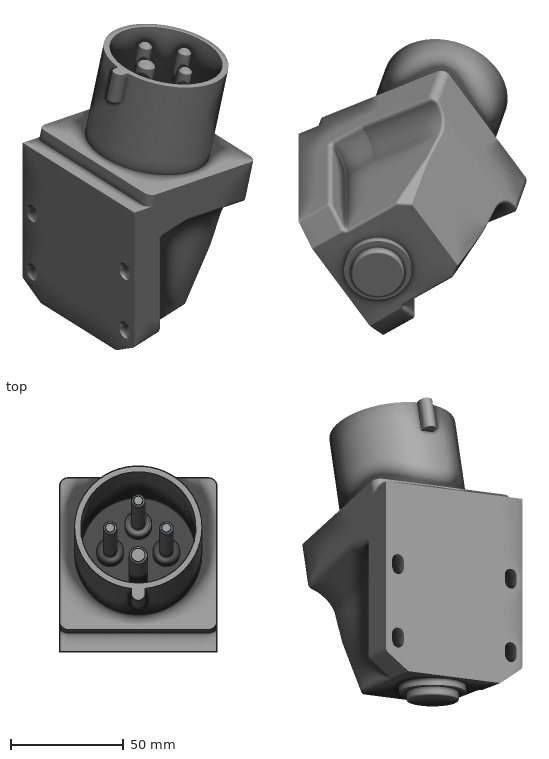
import cadquery as cq
import math


WIDTH = 70.0
HALF_WIDTH = WIDTH / 2
TILT = 15.0
MOUNT_TOP = 85.5

PLATE_THICKNESS = 9.3
CORNER_CUT_X = 11.4
CORNER_CUT_Z = 8.1
CORNER_ROUND = 2.0
SLOT_WIDTH = 6.0
SLOT_HEIGHT = 9.0
SLOT_X = 29.0
SLOT_HEIGHTS = (14.8, 48.3)

FLANGE_SETBACK = 8.6
FLANGE_THICKNESS = 6.0
FLANGE_ROUND = 3.9
SHROUD_DIAMETER = 56.7
SHROUD_BORE = 51.2
SHROUD_LENGTH = 45.1
KEY_WIDTH = 6.0
KEY_PROTRUSION = 5.3
KEY_LENGTH = 14.2
COLLAR_DIAMETER = 12.0
COLLAR_HEIGHT = 5.0
COLLAR_ROUND = 1.0

PIN_CIRCLE_RADIUS = 12.5
PIN_DIAMETER = 6.0
EARTH_PIN_DIAMETER = 8.1
PIN_LENGTH = 44.5
PIN_CHAMFER = 1.0
PHASE_PIN_ANGLES = (0, 90, 180)
EARTH_PIN_ANGLE = 270

REAR_WALL_HEIGHT = 17.7
BOTTOM_DEPTH = 49.7
NECK_HALF_WIDTH = 23.0
RECESS_FRONT = 17.3
RECESS_FLOOR_TOP = 49.0
RECESS_BAND_RADIUS = 12.1
RECESS_BEND_Y = 31.7
RECESS_INNER_ROUND = 1.0
RECESS_RIM_ROUND = 2.0
NECK_EDGE_ROUND = 1.3
FACET_TOP = 29.6
FACET_Y = 6.0
FACET_X = 4.2

GLAND_Y = 19.5
GLAND_COLLAR_DIAMETER = 30.0
GLAND_COLLAR_HEIGHT = 3.0
GLAND_DIAMETER = 23.4
GLAND_HEIGHT = 7.0
GLAND_EDGE_ROUND = 0.8

TILT_RADIANS = math.radians(TILT)
SIN_TILT = math.sin(TILT_RADIANS)
COS_TILT = math.cos(TILT_RADIANS)
CONNECTOR_AXIS = cq.Vector(0, SIN_TILT, COS_TILT)
PLATE_DROP = PLATE_THICKNESS * math.tan(TILT_RADIANS)
FLANGE_CENTRE = FLANGE_SETBACK + HALF_WIDTH
BIG = 2 * WIDTH
NEAR = 0.1


def on_slope(along, above):
    """Y and Z of a point given along the sloping top and above it."""
    return (
        along * COS_TILT + above * SIN_TILT,
        MOUNT_TOP - along * SIN_TILT + above * COS_TILT,
    )


REAR_TOP = on_slope(FLANGE_SETBACK + WIDTH, 0)
REAR_KNEE = on_slope(FLANGE_SETBACK + WIDTH, -REAR_WALL_HEIGHT)


def connector_plane(above):
    """Plane square to the connector axis, at a height above the sloping top."""
    return cq.Plane(
        origin=(0, *on_slope(FLANGE_CENTRE, above)),
        xDir=(1, 0, 0),
        normal=CONNECTOR_AXIS.toTuple(),
    )


def outer_rim(body):
    """Edges around the far end of a round body on the connector axis."""
    return body.faces(cq.DirectionMinMaxSelector(CONNECTOR_AXIS)).edges()


def pin_place(angle):
    turn = math.radians(angle)
    return (PIN_CIRCLE_RADIUS * math.cos(turn), PIN_CIRCLE_RADIUS * math.sin(turn))


def side_prism(points):
    """Prism across the full width from an outline of (Y, Z) points."""
    return cq.Workplane("YZ").polyline(points).close().extrude(HALF_WIDTH, both=True)


def bevelled_front(depth):
    """Front outline with both bottom corners bevelled and eased, run to the rear."""
    flat_end = HALF_WIDTH - CORNER_CUT_X
    bevel_top = cq.selectors.BoxSelector(
        (-WIDTH, 0, CORNER_CUT_Z - NEAR), (WIDTH, depth, CORNER_CUT_Z + NEAR)
    )
    return (
        cq.Workplane("XZ")
        .moveTo(-HALF_WIDTH, MOUNT_TOP)
        .lineTo(-HALF_WIDTH, CORNER_CUT_Z)
        .lineTo(-flat_end, 0)
        .lineTo(flat_end, 0)
        .lineTo(HALF_WIDTH, CORNER_CUT_Z)
        .lineTo(HALF_WIDTH, MOUNT_TOP)
        .close()
        .extrude(-depth)
        .edges(bevel_top)
        .fillet(CORNER_ROUND)
    )



def make_plate():
    outline = [
        (0, 0),
        (0, MOUNT_TOP),
        (PLATE_THICKNESS, MOUNT_TOP - PLATE_DROP),
        (PLATE_THICKNESS, 0),
    ]
    plate = side_prism(outline).intersect(bevelled_front(PLATE_THICKNESS))
    for x in (-SLOT_X, SLOT_X):
        for z in SLOT_HEIGHTS:
            plate = plate.cut(screw_slot(x, z))
    return plate


def screw_slot(x, z):
    """Slot through the plate, sloping down to the rear like the top."""
    path = cq.Workplane("YZ", origin=(x, 0, z)).lineTo(PLATE_THICKNESS, -PLATE_DROP)
    mouth = cq.Workplane("XZ", origin=(x, 0, z)).slot2D(SLOT_HEIGHT, SLOT_WIDTH, 90)
    return mouth.sweep(path)



def half_block():
    """The +X half of the housing before its side recess is taken out."""
    outline = [
        (PLATE_THICKNESS, 0),
        (PLATE_THICKNESS, MOUNT_TOP - PLATE_DROP),
        REAR_TOP,
        REAR_KNEE,
        (BOTTOM_DEPTH, 0),
    ]
    half_space = cq.Workplane().box(BIG, 2 * BIG, 2 * BIG, centered=(False, True, True))
    return side_prism(outline).intersect(bevelled_front(BIG)).intersect(half_space)


def below_band(run_direction):
    """Space outside the neck and below a concave band that runs in the given direction."""
    depth = HALF_WIDTH - NECK_HALF_WIDTH
    end_angle = math.acos(1 - depth / RECESS_BAND_RADIUS)
    bend = (0, RECESS_BEND_Y, RECESS_FLOOR_TOP)

    def band_point(angle):
        return (
            NECK_HALF_WIDTH + RECESS_BAND_RADIUS * (1 - math.cos(angle)),
            RECESS_BAND_RADIUS * math.sin(angle),
        )

    return (
        cq.Workplane(cq.Plane(origin=bend, xDir=(1, 0, 0), normal=run_direction))
        .moveTo(NECK_HALF_WIDTH, -BIG)
        .lineTo(NECK_HALF_WIDTH, 0)
        .threePointArc(band_point(end_angle / 2), band_point(end_angle))
        .lineTo(HALF_WIDTH, -BIG)
        .close()
        .extrude(BIG, both=True)
    )


def recess_space():
    """Recess beside the neck: level at the front, sloping at the rear, rounded at the front wall."""
    behind_wall = (
        cq.Workplane("XY", origin=(0, RECESS_FRONT, 0))
        .box(BIG, BIG, BIG, centered=(True, False, True))
    )
    level = below_band((0, -1, 0))
    sloping = below_band((0, -COS_TILT, SIN_TILT))
    space = level.intersect(sloping).intersect(behind_wall)
    front_wall_edges = cq.selectors.BoxSelector(
        (NECK_HALF_WIDTH - NEAR, RECESS_FRONT - NEAR, -HALF_WIDTH),
        (HALF_WIDTH - NEAR, RECESS_FRONT + NEAR, RECESS_FLOOR_TOP + RECESS_BAND_RADIUS),
    )
    return space.edges(front_wall_edges).fillet(RECESS_INNER_ROUND)


def rear_corner_facet():
    """Tool for the flat on the neck's rear corner, which widens towards the bottom."""
    rear_slope = (REAR_KNEE[0] - BOTTOM_DEPTH) / REAR_KNEE[1]
    top = cq.Vector(NECK_HALF_WIDTH, BOTTOM_DEPTH + rear_slope * FACET_TOP, FACET_TOP)
    side = cq.Vector(NECK_HALF_WIDTH, BOTTOM_DEPTH - FACET_Y, 0)
    rear = cq.Vector(NECK_HALF_WIDTH - FACET_X, BOTTOM_DEPTH, 0)
    facet = cq.Plane(origin=top, xDir=side - top, normal=(side - top).cross(rear - top))
    below_top = cq.Workplane().box(BIG, BIG, 2 * FACET_TOP)
    return cq.Workplane(facet).rect(BIG, BIG).extrude(WIDTH).intersect(below_top)


def make_housing():
    box = cq.selectors.BoxSelector
    block = half_block()

    rear_wall_middle = (
        HALF_WIDTH, (REAR_TOP[0] + REAR_KNEE[0]) / 2, (REAR_TOP[1] + REAR_KNEE[1]) / 2
    )
    rounded_block = (
        block.edges(cq.selectors.NearestToPointSelector(rear_wall_middle)).fillet(FLANGE_ROUND)
    )

    band_top = RECESS_FLOOR_TOP + RECESS_BAND_RADIUS
    wall_from = RECESS_FRONT - NEAR
    wall_to = RECESS_FRONT + NEAR
    side_rim = box(
        (HALF_WIDTH - NEAR, wall_from, 2 * CORNER_CUT_Z),
        (HALF_WIDTH + NEAR, REAR_KNEE[0] - NEAR, band_top + NEAR),
    )
    foot_rim = box(
        (NECK_HALF_WIDTH + RECESS_INNER_ROUND + NEAR, wall_from, 0),
        (HALF_WIDTH, wall_to, CORNER_CUT_Z + CORNER_ROUND),
    )
    half = block.cut(recess_space()).edges(side_rim + foot_rim).fillet(RECESS_RIM_ROUND)
    half = half.intersect(rounded_block).cut(rear_corner_facet())

    bottom_edges = box(
        (NECK_HALF_WIDTH - FACET_X, RECESS_FRONT + RECESS_INNER_ROUND, -NEAR),
        (NECK_HALF_WIDTH + NEAR, BOTTOM_DEPTH - NEAR, NEAR),
    )
    rear_edges = box(
        (NECK_HALF_WIDTH - NEAR, BOTTOM_DEPTH + 1.4, CORNER_ROUND),
        (HALF_WIDTH + NEAR, BIG, REAR_KNEE[1] + FLANGE_ROUND),
    )
    half = half.edges(bottom_edges + rear_edges).fillet(NECK_EDGE_ROUND)
    return half.union(half.mirror("YZ"))



def make_connector():
    floor = cq.Workplane(connector_plane(FLANGE_THICKNESS))
    flange = (
        cq.Workplane(connector_plane(0))
        .rect(WIDTH, WIDTH)
        .extrude(FLANGE_THICKNESS)
        .edges(cq.selectors.ParallelDirSelector(CONNECTOR_AXIS))
        .fillet(FLANGE_ROUND)
    )
    shroud = floor.circle(SHROUD_DIAMETER / 2).extrude(SHROUD_LENGTH)
    bore = floor.circle(SHROUD_BORE / 2).extrude(SHROUD_LENGTH)
    connector = flange.union(shroud).union(shroud_key()).cut(bore)
    for angle in PHASE_PIN_ANGLES:
        connector = connector.union(pin_collar(angle))
    return connector


def shroud_key():
    """Round-nosed key on the front of the shroud, down from its rim."""
    rim = cq.Workplane(connector_plane(FLANGE_THICKNESS + SHROUD_LENGTH))
    nose_centre = SHROUD_DIAMETER / 2 + KEY_PROTRUSION - KEY_WIDTH / 2
    return (
        rim.moveTo(KEY_WIDTH / 2, 0)
        .lineTo(-KEY_WIDTH / 2, 0)
        .lineTo(-KEY_WIDTH / 2, -nose_centre)
        .threePointArc((0, -nose_centre - KEY_WIDTH / 2), (KEY_WIDTH / 2, -nose_centre))
        .close()
        .extrude(-KEY_LENGTH)
    )


def pin_collar(angle):
    """Ring standing on the shroud floor around a phase pin."""
    spot = cq.Workplane(connector_plane(FLANGE_THICKNESS)).center(*pin_place(angle))
    ring = outer_rim(spot.circle(COLLAR_DIAMETER / 2).extrude(COLLAR_HEIGHT)).fillet(COLLAR_ROUND)
    return ring.cut(spot.circle(PIN_DIAMETER / 2).extrude(COLLAR_HEIGHT))



def make_pin(angle, diameter):
    spot = cq.Workplane(connector_plane(FLANGE_THICKNESS)).center(*pin_place(angle))
    return outer_rim(spot.circle(diameter / 2).extrude(PIN_LENGTH)).chamfer(PIN_CHAMFER)



def make_gland():
    top = cq.Workplane("XY", origin=(0, GLAND_Y, 0))
    collar = top.circle(GLAND_COLLAR_DIAMETER / 2).extrude(-GLAND_COLLAR_HEIGHT)
    barrel = top.circle(GLAND_DIAMETER / 2).extrude(-GLAND_HEIGHT)
    return collar.union(barrel.faces("<Z").edges().fillet(GLAND_EDGE_ROUND))


plate = make_plate()
housing = make_housing()
connector = make_connector()
phase_pins = [make_pin(angle, PIN_DIAMETER) for angle in PHASE_PIN_ANGLES]
earth_pin = make_pin(EARTH_PIN_ANGLE, EARTH_PIN_DIAMETER)
gland = make_gland()

result = cq.Compound.makeCompound([
    plate.val(),
    housing.val(),
    connector.val(),
    *[pin.val() for pin in phase_pins],
    earth_pin.val(),
    gland.val(),
])